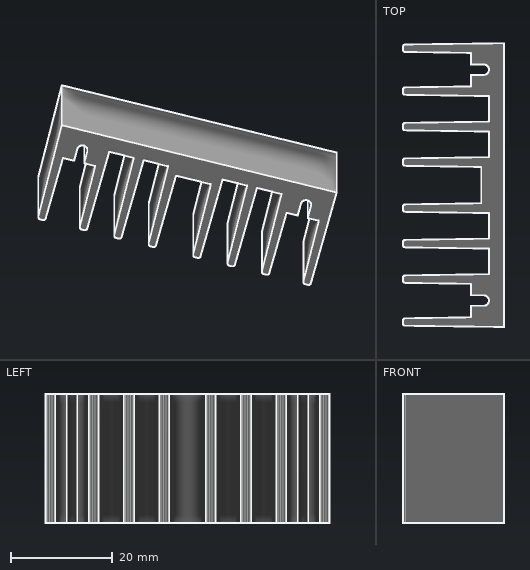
import cadquery as cq

depth = 20.0
length = 56.0
height = 25.5

plate_thickness = 3.0
centre_pad_thickness = 4.55
slot_pad_thickness = 6.55

fin_root_width = 2.0
fin_tip_width = 1.5
fin_tip_radius = 0.5
fin_pitch = 7.0
inner_fin_y = 4.55
outer_fin_y = (length - fin_root_width) / 2
inner_fin_ys = [inner_fin_y + i * fin_pitch for i in range(3)]

slot_width = 2.0
slot_y = (inner_fin_ys[-1] + outer_fin_y) / 2

back_x = depth / 2
tip_x = -depth / 2
floor_x = back_x - plate_thickness


def make_slab(thickness, y_start, y_end):
    """Block standing against the flat back."""
    return cq.Workplane("XY").box(thickness, y_end - y_start, height).translate(
        (back_x - thickness / 2, (y_start + y_end) / 2, 0)
    )


def make_fin(y):
    """Fin tapering from the plate to a tip with rounded edges."""
    root = fin_root_width / 2
    tip = fin_tip_width / 2
    outline = [(floor_x, y - root), (floor_x, y + root), (tip_x, y + tip), (tip_x, y - tip)]
    fin = cq.Workplane("XY", origin=(0, 0, -height / 2)).polyline(outline).close().extrude(height)
    return fin.faces("<X").edges("|Z").fillet(fin_tip_radius)


def make_screw_slot(y):
    """Slot cutter whose round end just reaches the plate floor level."""
    radius = slot_width / 2
    centre_x = floor_x - radius
    return (
        cq.Workplane("XY", origin=(0, 0, -height / 2))
        .moveTo(tip_x, y - radius)
        .lineTo(centre_x, y - radius)
        .threePointArc((floor_x, y), (centre_x, y + radius))
        .lineTo(tip_x, y + radius)
        .close()
        .extrude(height)
    )


def make_end_fin(side):
    """Outermost fin, whose outer face slopes in one plane from the back corner to the tip."""
    root_y = side * (outer_fin_y - fin_root_width / 2)
    inner_tip_y = side * (outer_fin_y - fin_tip_width / 2)
    outer_tip_y = side * (outer_fin_y + fin_tip_width / 2)
    outline = [
        (back_x, root_y),
        (back_x, side * length / 2),
        (tip_x, outer_tip_y),
        (tip_x, inner_tip_y),
        (floor_x, root_y),
    ]
    fin = cq.Workplane("XY", origin=(0, 0, -height / 2)).polyline(outline).close().extrude(height)
    return fin.faces("<X").edges("|Z").fillet(fin_tip_radius)


result = make_slab(plate_thickness, -outer_fin_y, outer_fin_y)
result = result.union(make_slab(centre_pad_thickness, -inner_fin_y, inner_fin_y))

for side in (-1, 1):
    result = result.union(make_end_fin(side))
    for fin_y in inner_fin_ys:
        result = result.union(make_fin(side * fin_y))
    pad_ends = sorted((side * inner_fin_ys[-1], side * outer_fin_y))
    result = result.union(make_slab(slot_pad_thickness, *pad_ends))
    result = result.cut(make_screw_slot(side * slot_y))